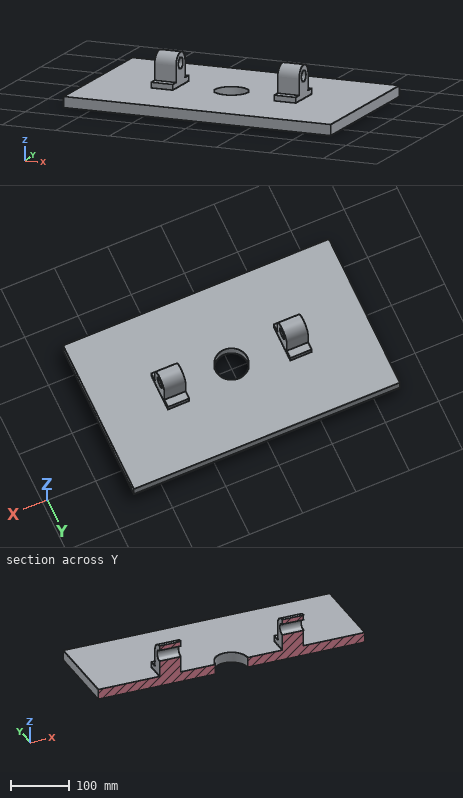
import cadquery as cq

plate_length = 500.0
plate_width = 300.0
plate_thickness = 20.0
center_hole_diameter = 60.0

bracket_spacing = 230.0
bracket_thickness = 40.0
foot_width = 70.0
foot_height = 10.0
lug_width = 40.0
pivot_height = 40.0
pivot_hole_diameter = 20.0


def make_plate():
    """Plate resting on Z = 0 with a round hole through its center."""
    return (
        cq.Workplane("XY")
        .box(plate_length, plate_width, plate_thickness, centered=(True, True, False))
        .faces(">Z")
        .workplane()
        .hole(center_hole_diameter)
    )


def make_bracket(x_center):
    """Round-topped lug on a wider foot, with a pivot hole along X."""
    profile_plane = cq.Workplane(
        "YZ", origin=(x_center - bracket_thickness / 2, 0, plate_thickness)
    )
    half_foot = foot_width / 2
    half_lug = lug_width / 2
    body = (
        profile_plane
        .moveTo(-half_foot, 0)
        .lineTo(half_foot, 0)
        .lineTo(half_foot, foot_height)
        .lineTo(half_lug, foot_height)
        .lineTo(half_lug, pivot_height)
        .threePointArc((0, pivot_height + half_lug), (-half_lug, pivot_height))
        .lineTo(-half_lug, foot_height)
        .lineTo(-half_foot, foot_height)
        .close()
        .extrude(bracket_thickness)
    )
    pivot_hole = (
        profile_plane
        .center(0, pivot_height)
        .circle(pivot_hole_diameter / 2)
        .extrude(bracket_thickness)
    )
    return body.cut(pivot_hole)


result = make_plate()
for side in (-1, 1):
    result = result.union(make_bracket(side * bracket_spacing / 2))